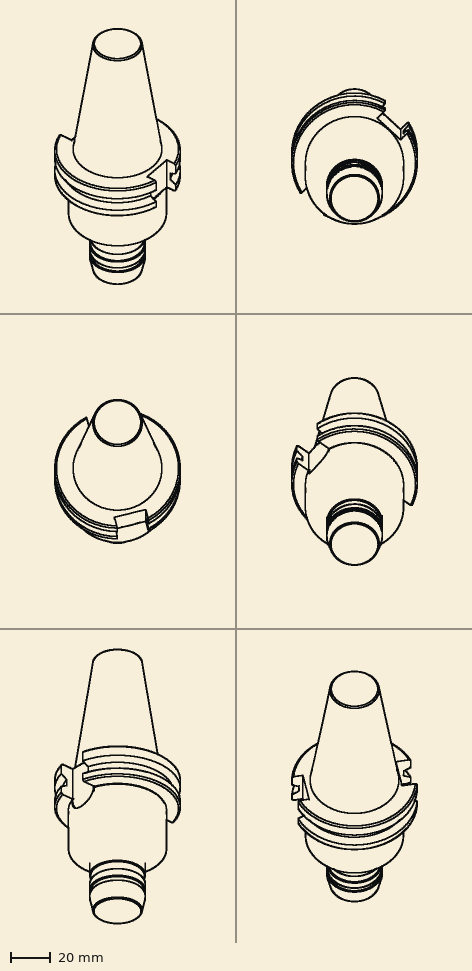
import cadquery as cq
import math

total_height = 148.2
flange_top = 78.9
flange_bottom = 61.0

taper_top_radius = 12.5
taper_bottom_radius = 22.4
taper_tip_chamfer = 0.7

flange_diameter = 63.3
flange_radius = flange_diameter / 2
flange_chamfer = 0.9
groove_root_radius = 28.2
groove_root_top = 70.9
groove_root_bottom = 67.3
groove_side_angle = 30.0
groove_side_height = (flange_radius - groove_root_radius) * math.tan(math.radians(groove_side_angle))

body_radius = 24.8
relief_height = 0.9
relief_radius = 24.0
body_bottom = 35.9
shoulder_angle = 30.0
shoulder_fillet = 2.2
selection_margin = 0.1

nose_radius = 14.01
nose_groove_radius = 13.5
nose_groove_edge = 0.5
wide_groove_top = 21.5
wide_groove_bottom = 16.5
narrow_groove_top = 12.6
narrow_groove_bottom = 9.6
lead_in_top = 7.7
lead_in_radius = 12.5
tip_chamfer = 0.6
shoulder_drop = (body_radius - nose_radius) * math.tan(math.radians(shoulder_angle))
shoulder_bottom = body_bottom - shoulder_drop

slot_width = 16.3
slot_bottom = 51.9
left_slot_floor = 22.8
right_slot_floor = 24.9


def nose_groove(profile, bottom, top):
    """Continue a rising profile through one groove with sloped edges."""
    return (
        profile.lineTo(nose_radius, bottom)
        .lineTo(nose_groove_radius, bottom + nose_groove_edge)
        .lineTo(nose_groove_radius, top - nose_groove_edge)
        .lineTo(nose_radius, top)
    )


def revolve_profile(profile):
    """Close a profile in the XZ plane and turn it about the Z axis."""
    return profile.close().revolve(360, (0, 0, 0), (0, 1, 0))


def make_nose_and_body():
    profile = (
        cq.Workplane("XZ")
        .lineTo(lead_in_radius - tip_chamfer, 0)
        .lineTo(lead_in_radius, tip_chamfer)
        .lineTo(nose_radius, lead_in_top)
    )
    profile = nose_groove(profile, narrow_groove_bottom, narrow_groove_top)
    profile = nose_groove(profile, wide_groove_bottom, wide_groove_top)
    profile = (
        profile.lineTo(nose_radius, shoulder_bottom)
        .lineTo(body_radius, body_bottom)
        .lineTo(body_radius, flange_bottom - relief_height)
        .lineTo(relief_radius, flange_bottom)
        .lineTo(0, flange_bottom)
    )
    body = revolve_profile(profile)
    for radius, height in ((nose_radius, shoulder_bottom), (body_radius, body_bottom)):
        reach = radius + selection_margin
        corner = cq.selectors.BoxSelector(
            (-reach, -reach, height - selection_margin),
            (reach, reach, height + selection_margin),
            boundingbox=True,
        )
        body = body.edges(corner).edges("%CIRCLE").fillet(shoulder_fillet)
    return body


def make_flange():
    return revolve_profile(
        cq.Workplane("XZ")
        .moveTo(0, flange_bottom)
        .lineTo(flange_radius - flange_chamfer, flange_bottom)
        .lineTo(flange_radius, flange_bottom + flange_chamfer)
        .lineTo(flange_radius, groove_root_bottom - groove_side_height)
        .lineTo(groove_root_radius, groove_root_bottom)
        .lineTo(groove_root_radius, groove_root_top)
        .lineTo(flange_radius, groove_root_top + groove_side_height)
        .lineTo(flange_radius, flange_top - flange_chamfer)
        .lineTo(flange_radius - flange_chamfer, flange_top)
        .lineTo(0, flange_top)
    )


def make_taper():
    return revolve_profile(
        cq.Workplane("XZ")
        .moveTo(0, flange_top)
        .lineTo(taper_bottom_radius, flange_top)
        .lineTo(taper_top_radius, total_height - taper_tip_chamfer)
        .lineTo(taper_top_radius - taper_tip_chamfer, total_height)
        .lineTo(0, total_height)
    )


def make_drive_slot(floor, side):
    """Cutter reaching from a slot floor outwards; side is -1 or 1 along X."""
    half_width = slot_width / 2
    arc_center = slot_bottom + half_width
    return (
        cq.Workplane("YZ")
        .workplane(offset=side * floor)
        .moveTo(-half_width, flange_top)
        .lineTo(-half_width, arc_center)
        .threePointArc((0, slot_bottom), (half_width, arc_center))
        .lineTo(half_width, flange_top)
        .close()
        .extrude(side * flange_radius)
    )


result = make_nose_and_body().union(make_flange()).union(make_taper())
result = result.cut(make_drive_slot(left_slot_floor, -1))
result = result.cut(make_drive_slot(right_slot_floor, 1))